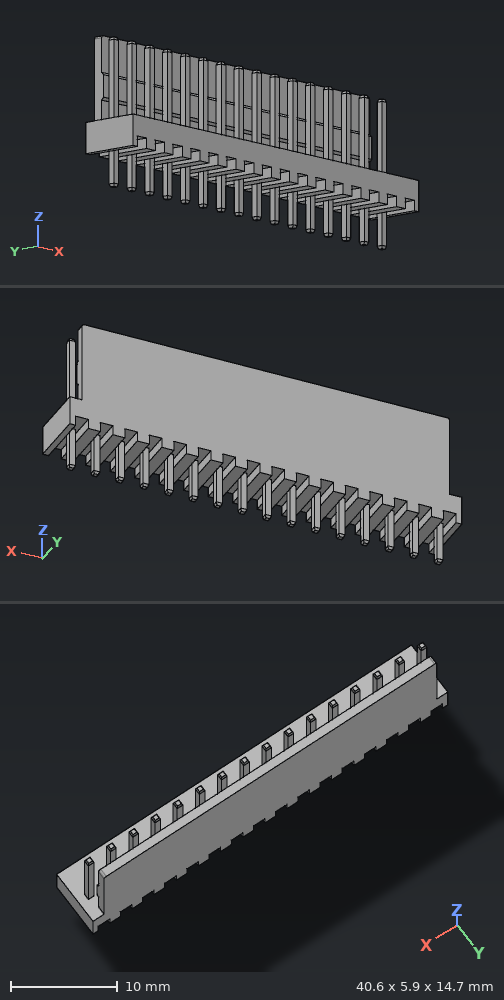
import cadquery as cq

pin_count = 16
pitch = 2.54
base_length = pin_count * pitch
base_depth = 5.9
base_height = 3.0

slot_width = 1.3
slot_depth = 1.0

pin_width = 0.64
pin_y = 3.5
pin_length_above_base = 8.0
pin_length_below_base = 3.3
pin_top_z = base_height + pin_length_above_base
pin_bottom_z = -pin_length_below_base
tip_inset = 0.1
tip_length = 0.28

wall_length = (pin_count - 1) * pitch
wall_thickness = 0.9
wall_height = 8.4
wall_corner_radius = 0.25
wall_front_y = base_depth - wall_thickness

rib_projection = 0.25
rib_height_above_base = 2.2
rib_bottom_z = base_height + rib_height_above_base
rib_height = 2.65
rib_top_z = rib_bottom_z + rib_height
rib_front_y = wall_front_y - rib_projection

pin_positions = [(i - (pin_count - 1) / 2) * pitch for i in range(pin_count)]


def make_base():
    """Rectangular block with a row of slots running front to back underneath."""
    block = cq.Workplane("XY").box(base_length, base_depth, base_height, centered=(True, False, False))
    slots = (
        cq.Workplane("XY")
        .pushPoints([(x, base_depth / 2) for x in pin_positions])
        .rect(slot_width, base_depth)
        .extrude(slot_depth)
    )
    return block.cut(slots)


def make_wall():
    """Upright plate with rounded upper corners, flush with the rear of the base."""
    return (
        cq.Workplane("XY", origin=(0, wall_front_y, base_height))
        .box(wall_length, wall_thickness, wall_height, centered=(True, False, False))
        .faces(">Z")
        .edges("|Y")
        .fillet(wall_corner_radius)
    )


def make_rib():
    """Trapezoidal bar running the full length of the wall."""
    profile = [
        (base_depth, rib_bottom_z),
        (wall_front_y, rib_bottom_z),
        (rib_front_y, rib_bottom_z + rib_projection),
        (rib_front_y, rib_top_z - rib_projection),
        (wall_front_y, rib_top_z),
        (base_depth, rib_top_z),
    ]
    return (
        cq.Workplane("YZ", origin=(-wall_length / 2, 0, 0))
        .polyline(profile)
        .close()
        .extrude(wall_length)
    )


def make_tip(x, shoulder_z, rise):
    """Square frustum narrowing from the pin shoulder; a negative rise points it down."""
    tip_width = pin_width - 2 * tip_inset
    return (
        cq.Workplane("XY", origin=(x, pin_y, shoulder_z))
        .rect(pin_width, pin_width)
        .workplane(offset=rise)
        .rect(tip_width, tip_width)
        .loft()
    )


def make_pin(x):
    """Straight square pin passing through the base."""
    shaft_bottom_z = pin_bottom_z + tip_length
    shaft_top_z = pin_top_z - tip_length
    shaft = (
        cq.Workplane("XY", origin=(x, pin_y, shaft_bottom_z))
        .rect(pin_width, pin_width)
        .extrude(shaft_top_z - shaft_bottom_z)
    )
    upper_tip = make_tip(x, shaft_top_z, tip_length)
    lower_tip = make_tip(x, shaft_bottom_z, -tip_length)
    return shaft.union(upper_tip).union(lower_tip)


result = make_base().union(make_wall()).union(make_rib())
for pin_x in pin_positions:
    result = result.union(make_pin(pin_x))